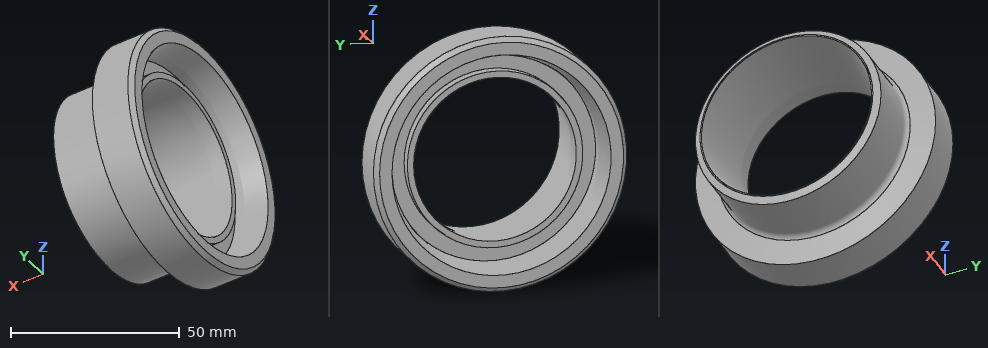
import math

import cadquery as cq

length = 35.0
flange_radius = 78 / 2
flange_width = 14.1
flange_chamfer = 1.5

neck_radius = 60.3 / 2
neck_start = 17.5
neck_chamfer_length = 1.2
neck_chamfer_depth = 2.1

slope_end_x = 15.3
fillet_radius = 2.65
fillet_center_radius = neck_radius + fillet_radius
fillet_angle = math.asin((neck_start - slope_end_x) / fillet_radius)

recess_mouth_radius = 33.7
recess_wall_radius = 63.8 / 2
recess_taper_length = 7.0
recess_depth = 10.5

lip_radius = 54.0 / 2
lip_front_x = recess_taper_length

bore_radius = 50.0 / 2
flare_start = 12.0
flare_end_radius = 27.6


def fillet_point(angle):
    """Point on the fillet, with the angle measured back from the neck."""
    return (
        neck_start - fillet_radius * math.sin(angle),
        fillet_center_radius - fillet_radius * math.cos(angle),
    )


profile = (
    cq.Workplane("XY")
    .moveTo(0, recess_mouth_radius)
    .lineTo(0, flange_radius - flange_chamfer)
    .lineTo(flange_chamfer, flange_radius)
    .lineTo(flange_width, flange_radius)
    .lineTo(*fillet_point(fillet_angle))
    .threePointArc(fillet_point(fillet_angle / 2), (neck_start, neck_radius))
    .lineTo(length - neck_chamfer_length, neck_radius)
    .lineTo(length, neck_radius - neck_chamfer_depth)
    .lineTo(length, flare_end_radius)
    .lineTo(flare_start, bore_radius)
    .lineTo(lip_front_x, bore_radius)
    .lineTo(lip_front_x, lip_radius)
    .lineTo(recess_depth, lip_radius)
    .lineTo(recess_depth, recess_wall_radius)
    .lineTo(recess_taper_length, recess_wall_radius)
    .close()
)

result = profile.revolve(360, (0, 0, 0), (1, 0, 0))